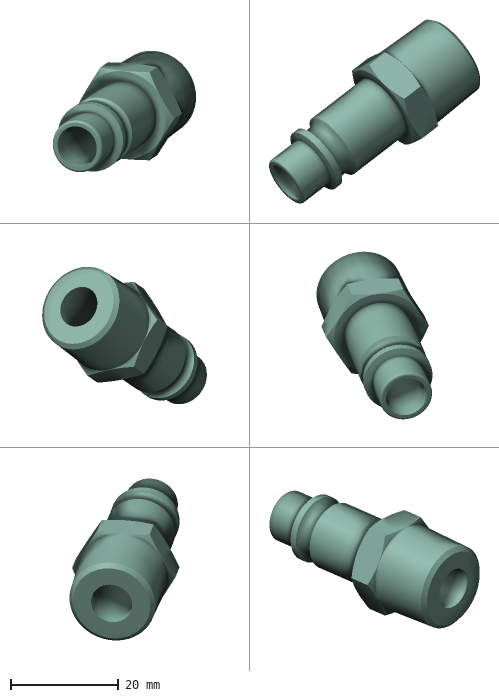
import cadquery as cq
import math

length = 42.0
bore_radius = 3.9

tip_radius = 5.0
tip_round = 0.5

body_radius = 6.5
collar_front = 6.97
collar_back = 8.3
collar_cone_angle = 15.0
groove_floor_radius = 5.35
groove_mouth_radius = 6.25
groove_front = 8.45
groove_back = 11.6
body_front = 11.75

hex_across_flats = 17.0
hex_front = 24.5
hex_back = 30.07
hex_face_radius = 8.45
hex_chamfer_angle = 30.0

thread_gauge_radius = 8.3
thread_gauge_y = 35.6
thread_taper = 1 / 16
thread_chamfer_length = 0.75
thread_end_radius = 7.3


def thread_radius(y):
    """Radius of the tapered thread envelope at position y."""
    return thread_gauge_radius + (thread_gauge_y - y) * thread_taper / 2


def revolve_about_y(profile):
    return profile.close().revolve(360, (0, 0, 0), (0, 1, 0))


def make_plug():
    """Solid of revolution from the tip to the middle of the hexagon."""
    cone_length = (body_radius - tip_radius) * math.tan(math.radians(collar_cone_angle))
    round_middle = tip_round * (1 - math.sqrt(0.5))
    hex_middle = (hex_front + hex_back) / 2
    profile = (
        cq.Workplane("XY")
        .lineTo(tip_radius - tip_round, 0)
        .threePointArc((tip_radius - round_middle, round_middle), (tip_radius, tip_round))
        .lineTo(tip_radius, collar_front - cone_length)
        .lineTo(body_radius, collar_front)
        .lineTo(body_radius, collar_back)
        .lineTo(groove_mouth_radius, groove_front)
        .threePointArc(
            (groove_floor_radius, (groove_front + groove_back) / 2),
            (groove_mouth_radius, groove_back),
        )
        .lineTo(body_radius, body_front)
        .lineTo(body_radius, hex_middle)
        .lineTo(0, hex_middle)
    )
    return revolve_about_y(profile)


def make_hexagon():
    """Hexagon with corners on the X axis and both ends chamfered by cones."""
    corner_radius = hex_across_flats / math.sqrt(3)
    chamfer_length = (corner_radius - hex_face_radius) * math.tan(math.radians(hex_chamfer_angle))
    prism = (
        cq.Workplane("XZ", origin=(0, hex_back, 0))
        .polygon(6, 2 * corner_radius)
        .extrude(hex_back - hex_front)
    )
    envelope = revolve_about_y(
        cq.Workplane("XY")
        .moveTo(0, hex_front)
        .lineTo(hex_face_radius, hex_front)
        .lineTo(corner_radius, hex_front + chamfer_length)
        .lineTo(corner_radius, hex_back - chamfer_length)
        .lineTo(hex_face_radius, hex_back)
        .lineTo(0, hex_back)
    )
    return prism.intersect(envelope)


def make_thread():
    """Tapered thread envelope in two stretches meeting at the gauge plane."""
    chamfer_start = length - thread_chamfer_length
    return revolve_about_y(
        cq.Workplane("XY")
        .moveTo(0, hex_back)
        .lineTo(thread_radius(hex_back), hex_back)
        .lineTo(thread_gauge_radius, thread_gauge_y)
        .lineTo(thread_radius(chamfer_start), chamfer_start)
        .lineTo(thread_end_radius, length)
        .lineTo(0, length)
    )


bore = cq.Workplane("XZ").circle(bore_radius).extrude(-length)

result = make_plug().union(make_hexagon()).union(make_thread()).cut(bore)